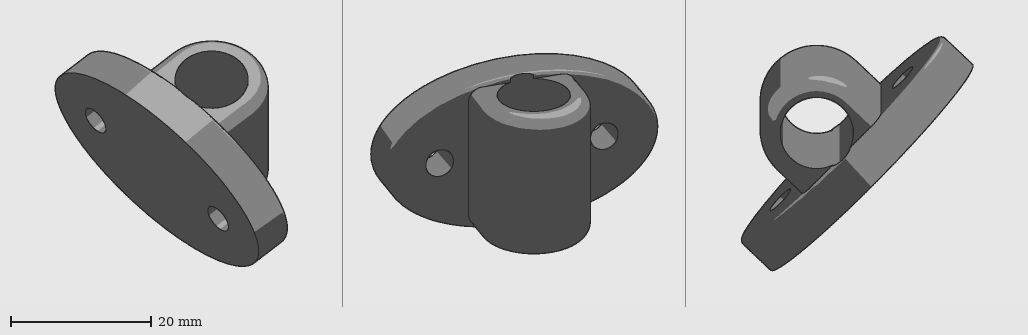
import cadquery as cq

plate_length = 41.5
plate_height = 24.0
plate_thickness = 6.0
plate_edge_radius = 0.5

screw_hole_diameter = 4.2
screw_hole_spacing = 25.0

lug_width = 16.2
lug_height = 22.05
lug_edge_radius = 2.0
bore_diameter = 10.4
total_depth = 19.0

lug_radius = lug_width / 2
bore_center_y = total_depth - lug_radius


def make_plate():
    """Elliptical plate with its back rim rounded."""
    plate = (
        cq.Workplane("XZ")
        .ellipse(plate_length / 2, plate_height / 2)
        .extrude(-plate_thickness)
    )
    return plate.faces(">Y").edges().fillet(plate_edge_radius)


def make_lug():
    """U-shaped lug rooted inside the plate, rounded along its top and bottom rims."""
    root_y = plate_thickness / 2
    lug = (
        cq.Workplane("XY")
        .moveTo(-lug_radius, root_y)
        .lineTo(-lug_radius, bore_center_y)
        .threePointArc((0, total_depth), (lug_radius, bore_center_y))
        .lineTo(lug_radius, root_y)
        .close()
        .extrude(lug_height / 2, both=True)
    )
    rims = lug.faces("|Z").edges("not(<Y)")
    return rims.fillet(lug_edge_radius)


def make_bore():
    """Full-height bore, grazing the back face of the plate."""
    return (
        cq.Workplane("XY")
        .center(0, bore_center_y)
        .circle(bore_diameter / 2)
        .extrude(plate_height, both=True)
    )


def make_screw_holes():
    """Pair of plain holes through the plate thickness."""
    half_spacing = screw_hole_spacing / 2
    return (
        cq.Workplane("XZ")
        .pushPoints([(-half_spacing, 0), (half_spacing, 0)])
        .circle(screw_hole_diameter / 2)
        .extrude(-plate_thickness)
    )


result = make_plate().union(make_lug()).cut(make_bore()).cut(make_screw_holes())